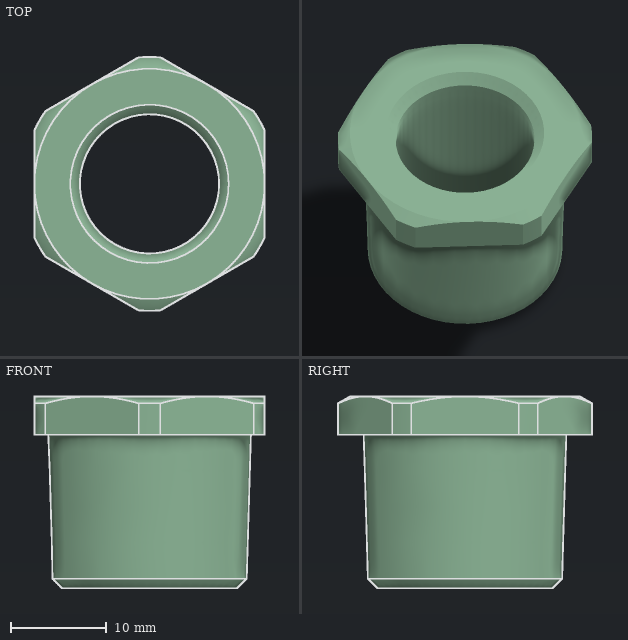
import cadquery as cq
import math

total_height = 20.0
across_flats = 24.0
across_corners = 26.5

head_height = 4.0
half_hexagon_step = 30.0
head_chamfer_angle = 30.0

body_top_diameter = 21.17
body_bottom_diameter = 20.3
body_chamfer = 1.0

bore_diameter = 14.5
countersink_diameter = 16.5

head_bottom = total_height - head_height


def make_head():
    """Hexagon with flats facing +X and -X, turned and chamfered at its corners."""
    hexagon = (
        cq.Workplane("XY", origin=(0, 0, head_bottom))
        .polygon(6, across_flats / math.cos(math.radians(half_hexagon_step)))
        .extrude(head_height)
        .rotate((0, 0, 0), (0, 0, 1), half_hexagon_step)
    )
    flat_radius = across_flats / 2
    corner_radius = across_corners / 2
    chamfer_drop = (corner_radius - flat_radius) * math.tan(math.radians(head_chamfer_angle))
    turned_envelope = (
        cq.Workplane("XZ")
        .moveTo(0, head_bottom)
        .lineTo(corner_radius, head_bottom)
        .lineTo(corner_radius, total_height - chamfer_drop)
        .lineTo(flat_radius, total_height)
        .lineTo(0, total_height)
        .close()
        .revolve(360, (0, 0), (0, 1))
    )
    return hexagon.intersect(turned_envelope)


def make_body():
    """Body tapering downward, with a chamfered lower end."""
    bottom_radius = body_bottom_diameter / 2
    return (
        cq.Workplane("XZ")
        .lineTo(bottom_radius - body_chamfer, 0)
        .lineTo(bottom_radius, body_chamfer)
        .lineTo(body_top_diameter / 2, head_bottom)
        .lineTo(0, head_bottom)
        .close()
        .revolve(360, (0, 0), (0, 1))
    )


def make_bore():
    """Through bore with a 45 degree countersink at the top."""
    bore_radius = bore_diameter / 2
    countersink_radius = countersink_diameter / 2
    countersink_depth = countersink_radius - bore_radius
    return (
        cq.Workplane("XZ")
        .lineTo(bore_radius, 0)
        .lineTo(bore_radius, total_height - countersink_depth)
        .lineTo(countersink_radius, total_height)
        .lineTo(0, total_height)
        .close()
        .revolve(360, (0, 0), (0, 1))
    )


result = make_head().union(make_body()).cut(make_bore())